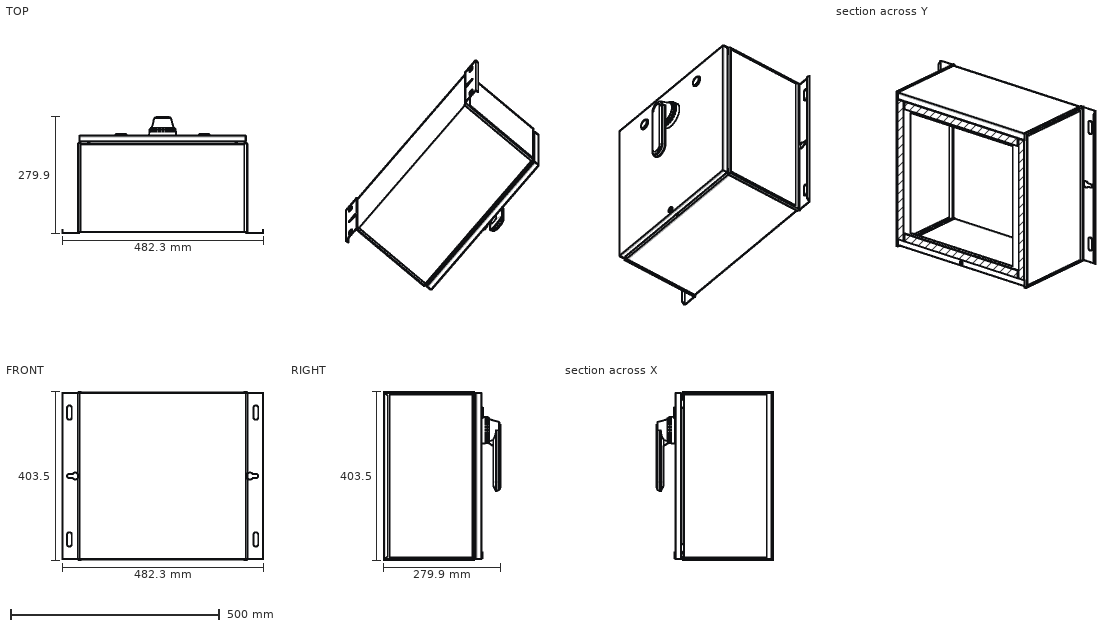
import cadquery as cq

overall_width = 482.3
overall_depth = 279.86
overall_height = 403.5
sheet = 1.5
bend_radius = 3.5

body_half_width = 203.5
body_half_height = overall_height / 2
wrap_half_height = body_half_height - sheet
body_front = 216.8
wrap_front = 215.2
side_tab = 7.5
rear_tab = 4.2
rear_tab_radius = 2.5
body_opening_margin = 45.0
wrap_rear_radius = 2.2
wrap_front_radius = 3.5

recess_depth = 0.5
recess_half_height = 194.5
recess_back = 14.5
recess_front = 212.6

flange_half_height = 199.5
flange_inner = body_half_width - sheet / 2
lip_height = 9.0
lip_bend_radius = 2.0
lip_corner = 6.5
slot_x = 223.5
slot_z = 152.0
slot_width = 11.0
slot_length = 34.0
keyhole_x = 209.5
keyhole_diameter = 16.0
keyhole_slot_width = 9.0

door_half_size = 200.0
door_back = 219.5
door_front = 235.0
door_bend_radius = 3.5
door_return = 35.0
seal_half_height = 183.0
side_seal_inner = 178.5
top_seal_half_width = 175.0
seal_strip_width = 21.0

button_x = 100.0
button_z = 151.5
button_diameter = 27.0
button_height = 3.5
button_chamfer = 2.5
latch_z = -190.0
latch_diameter = 14.0
latch_height = 2.0
latch_pin_diameter = 9.0

knob_z = 110.0
knob_base_radius = 33.0
collar_radius = 32.0
collar_start = 243.5
collar_chamfer_start = 248.0
collar_end = 253.0
collar_top_radius = 28.0
cone_base_radius = 26.5
cone_top_radius = 20.0
cone_end = 276.0
cap_radius = 18.0
cap_end = 278.0
groove_count = 24
groove_width = 3.0
groove_depth = 2.0
lever_half_width = 22.0
lever_back = 262.0
lever_back_half_width = 9.0
lever_side_start = 268.5
lever_side_end = 271.0
lever_front_half_width = 12.6
lever_tip_z = -36.0
rib_thickness = 6.0
rib_top_z = 92.0
rib_knob_z = 79.0
rib_bottom_z = 72.0
rib_back = 251.0


def block(x_range, y_range, z_range):
    """Axis-aligned box between the given limits."""
    size = [high - low for low, high in (x_range, y_range, z_range)]
    corner = (x_range[0], y_range[0], z_range[0])
    return cq.Workplane("XY").box(*size, centered=False).translate(corner)


def centred_block(half_width, y_range, half_height):
    """Box symmetric in X and Z."""
    return block((-half_width, half_width), y_range, (-half_height, half_height))


def cylinder_y(x, z, diameter, y_start, y_end):
    """Cylinder along +Y."""
    circle = cq.Workplane("XZ", origin=(x, y_start, z)).circle(diameter / 2)
    return circle.extrude(y_start - y_end)


def both_sides(shape):
    """A shape together with its mirror image across X = 0."""
    return shape.union(shape.mirror("YZ"))


def make_body():
    """Hollow sheet-metal body, open behind the door."""
    wrap_back = 2 * sheet
    wrap = centred_block(body_half_width - sheet, (wrap_back, wrap_front), wrap_half_height)
    wrap = wrap.faces(">Y").edges("|X").fillet(wrap_front_radius)
    wrap = wrap.faces("<Y").edges("|X").fillet(wrap_rear_radius)
    side = block(
        (body_half_width - side_tab, body_half_width),
        (0, body_front),
        (-body_half_height, body_half_height),
    )
    rear_step = block(
        (body_half_width - side_tab, body_half_width - rear_tab),
        (0, wrap_back),
        (-body_half_height, body_half_height),
    )
    side = side.faces(">X").edges("not <Y").fillet(bend_radius).cut(rear_step)
    rear_tab_edge = (body_half_width - rear_tab, 0, 0)
    side = side.edges(cq.selectors.NearestToPointSelector(rear_tab_edge)).fillet(rear_tab_radius)
    recess = block(
        (body_half_width - recess_depth, body_half_width),
        (recess_back, recess_front),
        (-recess_half_height, recess_half_height),
    )
    cavity = centred_block(
        body_half_width - recess_depth - sheet,
        (wrap_back + sheet, wrap_front - sheet),
        wrap_half_height - sheet,
    )
    opening = centred_block(
        body_half_width - body_opening_margin,
        (wrap_back + sheet, body_front),
        body_half_height - body_opening_margin,
    )
    return wrap.union(both_sides(side.cut(recess))).cut(cavity).cut(opening)


def make_flange():
    """Mounting flange on the +X side, with its outer lip, slots and keyhole."""
    outer = overall_width / 2
    heights = (-flange_half_height, flange_half_height)
    plate = block((flange_inner, outer), (0, sheet), heights)
    lip = block((outer - sheet, outer), (0, lip_height), heights)
    lip = lip.faces(">Y").edges("|X").chamfer(lip_corner, lip_corner)
    flange = plate.union(lip)
    flange = flange.edges(cq.selectors.NearestToPointSelector((outer, 0, 0))).fillet(lip_bend_radius)

    face = cq.Workplane("XZ")
    slots = face.pushPoints([(slot_x, slot_z), (slot_x, -slot_z)])
    slots = slots.slot2D(slot_length, slot_width, 90).extrude(-sheet)
    keyhole = cylinder_y(keyhole_x, 0, keyhole_diameter, 0, sheet)
    neck_end = slot_x + slot_width / 2
    neck_length = neck_end - keyhole_x + keyhole_slot_width / 2
    neck = face.center(neck_end - neck_length / 2, 0)
    neck = neck.slot2D(neck_length, keyhole_slot_width).extrude(-sheet)
    return flange.cut(slots).cut(keyhole).cut(neck)


def make_door():
    """Folded door pan with a return lip facing the body."""
    door = centred_block(door_half_size, (door_back, door_front), door_half_size)
    door = door.edges("#Y").fillet(door_bend_radius)
    inner_half = door_half_size - sheet
    cavity = centred_block(inner_half, (door_back + sheet, door_front - sheet), inner_half)
    opening_half = door_half_size - door_return
    opening = centred_block(opening_half, (door_back, door_front - sheet), opening_half)
    return door.cut(cavity).cut(opening)


def make_seals():
    """Strips that bridge the gap between body and door."""
    gap = (wrap_front - sheet, door_back)
    side = block(
        (side_seal_inner, door_half_size - door_bend_radius),
        gap,
        (-seal_half_height, seal_half_height),
    )
    top = block(
        (-top_seal_half_width, top_seal_half_width),
        gap,
        (seal_half_height - seal_strip_width, seal_half_height),
    )
    return both_sides(side).union(top).union(top.mirror("XY"))


def make_door_fittings():
    """Two round buttons on the door and the latch at its lower edge."""
    button = cylinder_y(button_x, button_z, button_diameter, door_front, door_front + button_height)
    button = button.faces(">Y").edges().chamfer(button_chamfer)
    latch = cylinder_y(0, latch_z, latch_diameter, door_front, door_front + latch_height)
    pin = cylinder_y(0, latch_z, latch_pin_diameter, wrap_front - sheet, door_back)
    return both_sides(button).union(latch).union(pin)


def make_knob():
    """Conical knob on a grooved collar."""
    profile = [
        (0, door_front),
        (knob_base_radius, door_front),
        (collar_radius, collar_start),
        (collar_radius, collar_chamfer_start),
        (collar_top_radius, collar_end),
        (cone_base_radius, collar_end),
        (cone_top_radius, cone_end),
        (cap_radius, cap_end),
        (0, cap_end),
    ]
    knob = cq.Workplane("XY").polyline(profile).close().revolve(360, (0, 0, 0), (0, 1, 0))
    groove = block(
        (collar_radius - groove_depth, collar_radius + groove_depth),
        (collar_start, collar_end),
        (-groove_width / 2, groove_width / 2),
    )
    for index in range(groove_count):
        knob = knob.cut(groove.rotate((0, 0, 0), (0, 1, 0), index * 360 / groove_count))
    return knob.translate((0, 0, knob_z))


def make_lever():
    """Lever hanging from the knob, with a rib under the knob."""
    half_section = [
        (0, lever_back),
        (lever_back_half_width, lever_back),
        (lever_half_width, lever_side_start),
        (lever_half_width, lever_side_end),
        (cone_top_radius, cone_end),
        (cap_radius, cap_end),
        (lever_front_half_width, overall_depth),
        (0, overall_depth),
    ]
    tip_centre_z = lever_tip_z + lever_half_width
    tip_plane = cq.Workplane("XY", origin=(0, 0, tip_centre_z))
    half_bar = tip_plane.polyline(half_section).close().extrude(knob_z - tip_centre_z)
    round_tip = tip_plane.polyline(half_section).close().revolve(360, (0, 0, 0), (0, 1, 0))
    cap_disc = cylinder_y(0, knob_z, 2 * lever_front_half_width, cap_end, overall_depth)
    lever = both_sides(half_bar).union(round_tip).union(cap_disc)
    rib_outline = [
        (lever_back, rib_bottom_z),
        (rib_back, rib_knob_z),
        (rib_back, rib_top_z),
        (lever_back, rib_top_z),
    ]
    rib = cq.Workplane("YZ").polyline(rib_outline).close().extrude(rib_thickness / 2, both=True)
    return lever.union(rib)


result = (
    make_body()
    .union(both_sides(make_flange()))
    .union(make_seals())
    .union(make_door())
    .union(make_door_fittings())
    .union(make_knob())
    .union(make_lever())
)